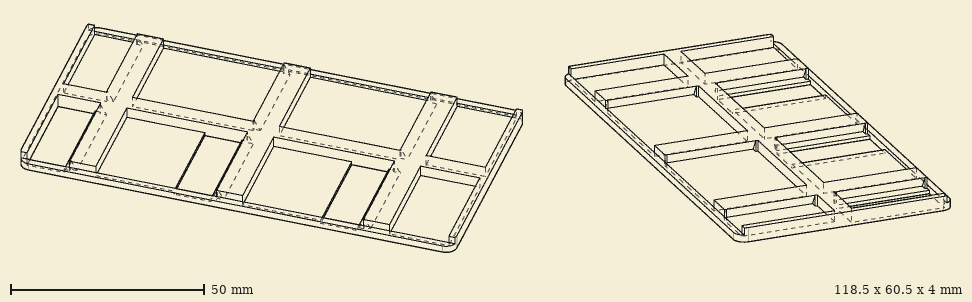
import cadquery as cq

LENGTH = 118.5
WIDTH = 60.5
HEIGHT = 4.0
CORNER_RADIUS = 3.0

RIM_WIDTH = 1.9
LOW_RIM_HEIGHT = 2.0
FLOOR_THICKNESS = 1.0
SPINE_WIDTH = 4.7
RIB_WIDTH = 7.1
RIB_PITCH = 39.9
FIRST_RIB_X = 13.5
RIB_COUNT = 3

WINDOW_WIDTH = 10.1
LEDGE_WIDTH = 1.5

UNDERCUT = 1.8
UNDERCUT_END_WALL = 0.6

POCKET_DEPTH_Y = (WIDTH - 2 * RIM_WIDTH - SPINE_WIDTH) / 2
FRONT_ROW_Y = RIM_WIDTH
BACK_ROW_Y = WIDTH - RIM_WIDTH - POCKET_DEPTH_Y
RIB_STARTS = [FIRST_RIB_X + i * RIB_PITCH for i in range(RIB_COUNT)]
POCKET_STARTS = [RIM_WIDTH] + [x + RIB_WIDTH for x in RIB_STARTS]
POCKET_ENDS = RIB_STARTS + [LENGTH - RIM_WIDTH]


def block(x, y, z, size_x, size_y, size_z):
    """Box placed by its lowest corner."""
    return cq.Workplane("XY").box(size_x, size_y, size_z, centered=False).translate((x, y, z))


def rounded_plate():
    return block(0, 0, 0, LENGTH, WIDTH, HEIGHT).edges("|Z").fillet(CORNER_RADIUS)


def cut_low_rims(body):
    """Lower the long front and back rims; the short side rims keep full height."""
    for y in (0, WIDTH - RIM_WIDTH):
        body = body.cut(block(0, y, LOW_RIM_HEIGHT, LENGTH, RIM_WIDTH, HEIGHT - LOW_RIM_HEIGHT))
    return body


def cut_pockets(body):
    """Sink both rows of pockets between the rims, ribs and central spine."""
    depth = HEIGHT - FLOOR_THICKNESS
    for y in (FRONT_ROW_Y, BACK_ROW_Y):
        for start, end in zip(POCKET_STARTS, POCKET_ENDS):
            body = body.cut(block(start, y, FLOOR_THICKNESS, end - start, POCKET_DEPTH_Y, depth))
    return body


def cut_windows(body):
    """Open the front-row floor beside each rib, leaving a narrow ledge against the rib."""
    for rib_x in RIB_STARTS:
        window_x = rib_x - LEDGE_WIDTH - WINDOW_WIDTH
        body = body.cut(block(window_x, FRONT_ROW_Y, 0, WINDOW_WIDTH, POCKET_DEPTH_Y, HEIGHT))
    return body


def cut_undercuts(body):
    """Slope each rib's left side inward from its top edge down to the floor."""
    length = POCKET_DEPTH_Y - 2 * UNDERCUT_END_WALL
    for row_y in (FRONT_ROW_Y, BACK_ROW_Y):
        for rib_x in RIB_STARTS:
            wedge = (
                cq.Workplane("XZ", origin=(rib_x, row_y + UNDERCUT_END_WALL, 0))
                .moveTo(0, HEIGHT)
                .lineTo(0, FLOOR_THICKNESS)
                .lineTo(UNDERCUT, FLOOR_THICKNESS)
                .close()
                .extrude(-length)
            )
            body = body.cut(wedge)
    return body


body = cut_low_rims(rounded_plate())
body = cut_pockets(body)
body = cut_windows(body)
result = cut_undercuts(body)